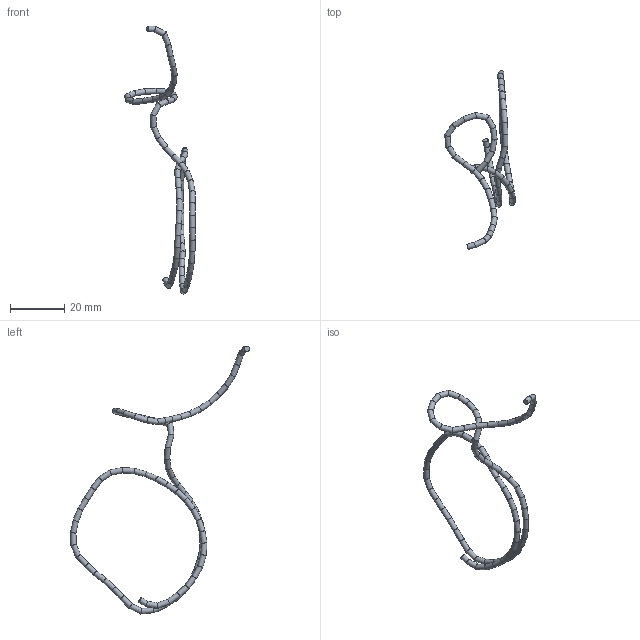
import cadquery as cq

WIRE_DIAMETER = 2.0


TOP_HOOK = [
    (-4.6, -32.0, 48.4),
    (-2.1, -31.4, 48.3),
    (1.4, -29.9, 46.6),
    (3.0, -28.5, 42.7),
    (3.8, -26.9, 38.6),
    (4.7, -24.6, 34.9),
    (5.3, -21.6, 31.6),
    (5.0, -18.4, 28.6),
    (4.1, -14.7, 26.1),
    (2.8, -10.9, 24.3),
    (0.7, -7.2, 23.1),
    (-2.2, -3.9, 22.4),
    (-5.8, -1.2, 21.8),
]

LOOP = [
    (-9.4, 1.4, 21.4),
    (-11.7, 5.0, 22.1),
    (-12.0, 9.1, 23.4),
    (-9.6, 12.7, 24.5),
    (-5.8, 15.1, 25.2),
    (-1.5, 16.5, 25.4),
    (2.7, 15.6, 25.1),
    (4.8, 11.9, 24.1),
    (5.3, 7.6, 23.1),
    (4.5, 3.3, 22.1),
    (2.3, -0.6, 21.5),
]

NECK = [
    (-0.5, -3.7, 20.3),
    (-2.5, -4.1, 16.6),
    (-2.4, -2.9, 12.2),
    (-0.6, -2.6, 8.1),
    (2.1, -3.0, 4.5),
    (5.1, -4.3, 1.4),
    (7.8, -6.3, -1.5),
    (9.9, -8.7, -4.6),
    (11.3, -11.3, -7.9),
]

OUTER_TURN = [
    (11.9, -13.4, -11.8),
    (11.9, -14.9, -16.0),
    (11.9, -15.7, -20.4),
    (11.9, -15.7, -24.9),
    (12.0, -14.8, -29.3),
    (11.9, -13.4, -33.5),
    (11.6, -11.4, -37.5),
    (11.1, -8.7, -41.0),
    (10.5, -5.3, -43.9),
    (9.8, -1.6, -46.3),
    (9.2, 2.5, -48.0),
    (8.6, 6.9, -48.4),
]

RING_BACK = [
    (8.3, 10.9, -46.5),
    (8.1, 14.0, -43.3),
    (8.0, 17.1, -40.0),
    (8.1, 20.4, -37.0),
    (8.3, 24.0, -34.3),
    (8.1, 27.2, -31.3),
    (7.8, 30.2, -28.0),
    (7.7, 31.9, -24.0),
    (7.8, 32.0, -19.5),
    (7.5, 31.1, -15.1),
    (7.7, 29.4, -10.9),
    (7.8, 27.1, -7.0),
    (8.1, 24.7, -3.2),
    (8.4, 22.0, 0.3),
]

INNER_TURN = [
    (8.8, 18.3, 2.7),
    (9.1, 13.9, 3.6),
    (9.3, 9.5, 3.3),
    (9.3, 5.2, 2.1),
    (8.3, 1.2, 0.4),
    (7.0, -2.5, -1.7),
    (6.4, -6.1, -4.1),
    (6.6, -9.4, -7.1),
    (6.9, -12.1, -10.7),
    (7.1, -14.2, -14.7),
    (7.1, -15.6, -18.9),
    (6.9, -16.3, -23.3),
    (6.6, -16.0, -27.7),
    (6.4, -14.8, -32.0),
    (6.1, -12.6, -35.9),
    (5.6, -10.0, -39.4),
    (4.7, -6.7, -42.3),
    (4.0, -3.1, -44.9),
    (3.2, 1.0, -46.4),
    (2.5, 5.1, -45.6),
    (2.0, 7.4, -44.2),
]

CENTRE_LINE = TOP_HOOK + LOOP + NECK + OUTER_TURN + RING_BACK + INNER_TURN


def bent_wire(points, diameter):
    """Sweep a round section along straight pieces between points, with mitred bends."""
    path = cq.Workplane("XY").polyline(points)
    start = cq.Vector(*points[0])
    heading = cq.Vector(*points[1]) - start
    end_plane = cq.Plane(origin=start, normal=heading)
    section = cq.Workplane(end_plane).circle(diameter / 2)
    return section.sweep(path, transition="right")


result = bent_wire(CENTRE_LINE, WIRE_DIAMETER)